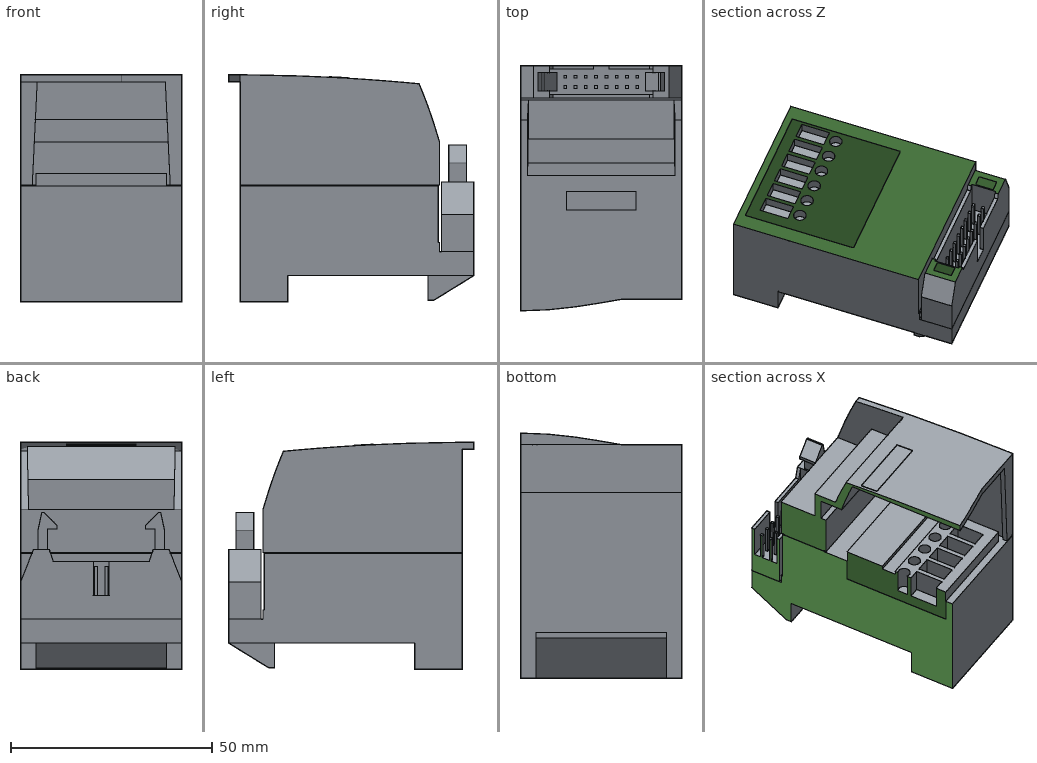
import cadquery as cq
import math

width = 40.0
half_width = width / 2
length = 61
height = 56.5
eave_overhang = 2.85
back_y = length - eave_overhang

base_top_z = 28.85
rail_slot_z = 6.5
foot_depth = 11.9
base_back_y = 49.3
base_back_foot_y = 49.6
base_back_foot_z = 14.75
rear_ledge_z = 12.5
clip_half_width = 16.2
clip_front_y = 46.7
clip_tip_y = 48.15
clip_bottom_z = 0.35
seam_gap = 0.2
seat_clearance = 0.6

cover_bottom_z = base_top_z + seam_gap
cover_back_y = base_back_foot_y
roof_back_y = 44.55
roof_drop = 2.25
back_curve_mid = (47.3, 47.05)
eave_thickness = 1.8
ceiling_z = height - eave_thickness
side_wall_low = 2.15
side_wall_high = 1.65
frame_depth = 1.2
opening_low_margin = 2.85
opening_high_margin = 4.1
eave_curve_mid = (13.85 - half_width, -1.8)
eave_end_x = 25.1 - half_width
eave_end_slope = 0.17
roof_edge_y = 30.8
middle_step_y = 33.9
middle_step_z = 47.2
middle_wall_y = 39.85
shelf_z = 39.8
shelf_front_y = 36.6
inner_offset = 1.8
slope_bulge = 0.1
plate_size = (17.3, 4.5)
plate_center_y = 24.5
plate_height = 0.1

block_half_width = 16.2
block_front_y = 1.9
block_back_y = 30.5
block_top_z = 31.95
block_height = 9.15
block_bottom_z = block_top_z - block_height
groove_front_y = 16.6
groove_back_y = 20.25
groove_depth = 0.9
terminal_count = 6
terminal_pitch = 5.0
last_terminal_x = 11.5
wire_slot_width = 3.9
wire_slot_front_y = 4.7
wire_slot_back_y = 11.95
screw_hole_diameter = 3.0
screw_hole_y = 14.45
terminal_depth = 6.1

header_front_y = 50
header_top_z = 29.85
chamfer_z = 21.8
chamfer_width = 3.2
shroud_half_length = 12.9
shroud_wall = 0.9
shroud_top_z = 26.85
pocket_floor_z = 18.3
key_width = 3.95
pin_columns = 8
pin_rows = 2
pin_pitch = 2.55
pin_size = 0.7
pin_top_z = 25.6

latch_half_depth = 2.25
latch_outer_x = half_width - 4.3
latch_stem_inner_x = half_width - 6.7
latch_tip_outer_x = half_width - 5.25
latch_tip_inner_x = half_width - 5.75
latch_hook_x = half_width - 9.0
latch_shoulder_z = 34.55
latch_top_z = 39.05
latch_lip = 0.85
latch_bottom_z = pocket_floor_z


def box(x_range, y_range, z_range):
    """Box between two limits along each axis."""
    (x0, x1), (y0, y1), (z0, z1) = x_range, y_range, z_range
    return cq.Workplane("XY").box(x1 - x0, y1 - y0, z1 - z0, centered=False).translate((x0, y0, z0))


def centered_range(middle, size):
    return (middle - size / 2, middle + size / 2)


def across(half):
    """Limits of a feature placed symmetrically about X = 0."""
    return (-half, half)


def across_width(outline, half=half_width):
    """Solid with a side outline in (Y, Z), running across the width."""
    return outline.close().extrude(half, both=True)


def side_outline(start):
    return cq.Workplane("YZ").moveTo(*start)


def make_base():
    body = across_width(
        side_outline((0, 0))
        .lineTo(foot_depth, 0)
        .lineTo(foot_depth, rail_slot_z)
        .lineTo(back_y, rail_slot_z)
        .lineTo(back_y, rear_ledge_z)
        .lineTo(base_back_foot_y, rear_ledge_z)
        .lineTo(base_back_foot_y, base_back_foot_z)
        .lineTo(base_back_y, base_back_foot_z)
        .lineTo(base_back_y, base_top_z)
        .lineTo(0, base_top_z)
    )
    clip = across_width(
        side_outline((clip_front_y, rail_slot_z))
        .lineTo(clip_front_y, clip_bottom_z)
        .lineTo(clip_tip_y, clip_bottom_z)
        .lineTo(back_y, rail_slot_z),
        clip_half_width,
    )
    seat = box(
        across(half_width - side_wall_low - seat_clearance),
        (shelf_front_y + seat_clearance, base_back_y - seat_clearance),
        (base_top_z, cover_bottom_z),
    )
    block_recess = box(
        across(block_half_width), (block_front_y, block_back_y), (block_bottom_z, base_top_z)
    )
    return body.union(clip).union(seat).cut(block_recess)


roof_run = roof_back_y + eave_overhang
roof_radius = (roof_run**2 + roof_drop**2) / (2 * roof_drop)


def roof_z(y):
    """Height of the arched roof, level at the tip of the eave."""
    return height - roof_radius + math.sqrt(roof_radius**2 - (y + eave_overhang) ** 2)


def cover_outline(rise=0):
    """Solid under the side outline of the cover and its eave, with the roof raised by `rise`."""
    roof_mid_y = roof_run / 2 - eave_overhang
    return across_width(
        side_outline((0, cover_bottom_z))
        .lineTo(cover_back_y, cover_bottom_z)
        .lineTo(cover_back_y, shelf_z)
        .threePointArc(back_curve_mid, (roof_back_y, roof_z(roof_back_y) + rise))
        .threePointArc((roof_mid_y, roof_z(roof_mid_y) + rise), (-eave_overhang, height + rise))
        .lineTo(-eave_overhang, ceiling_z)
        .lineTo(0, ceiling_z)
    )


def make_eave_trim():
    """Part of the eave cut away so that its edge curves back to the front face."""
    return (
        cq.Workplane("XY", origin=(0, 0, ceiling_z))
        .moveTo(-half_width, -eave_overhang)
        .spline(
            [eave_curve_mid, (eave_end_x, 0)],
            tangents=[(1, 0), (1, eave_end_slope)],
            includeCurrent=True,
        )
        .lineTo(half_width, 0)
        .lineTo(half_width, -eave_overhang)
        .close()
        .extrude(eave_thickness)
    )


def tapered_prism(low_margin, high_margin, y_range):
    """Space between drafted walls: margins from the cover's sides at its bottom and at the ceiling."""
    low = half_width - low_margin
    draft = (low_margin - high_margin) / (ceiling_z - cover_bottom_z)
    top_z = height + eave_thickness
    top = low + draft * (top_z - cover_bottom_z)
    y0, y1 = y_range
    return (
        cq.Workplane("XZ", origin=(0, y0, 0))
        .polyline([(-low, cover_bottom_z), (low, cover_bottom_z), (top, top_z), (-top, top_z)])
        .close()
        .extrude(y0 - y1)
    )


def slope_middle(top, bottom):
    """Middle of a steep rear slope that bulges slightly outwards."""
    return ((top[0] + bottom[0]) / 2 + slope_bulge, (top[1] + bottom[1]) / 2)


def make_interior():
    """Space below the roof and in front of the shelf."""
    slope_top = (roof_edge_y - inner_offset, ceiling_z)
    slope_bottom = (middle_step_y - inner_offset, middle_step_z - inner_offset)
    wall_y = middle_wall_y - inner_offset
    return across_width(
        side_outline((frame_depth, cover_bottom_z))
        .lineTo(shelf_front_y, cover_bottom_z)
        .lineTo(shelf_front_y, shelf_z)
        .lineTo(wall_y, shelf_z)
        .lineTo(wall_y, slope_bottom[1])
        .lineTo(*slope_bottom)
        .threePointArc(slope_middle(slope_top, slope_bottom), slope_top)
        .lineTo(frame_depth, ceiling_z)
    )


def make_rear_recess():
    """Stepped space above the shelf, behind the roof."""
    slope_top = (roof_edge_y, roof_z(roof_edge_y))
    slope_bottom = (middle_step_y, middle_step_z)
    return across_width(
        side_outline(slope_top)
        .threePointArc(slope_middle(slope_top, slope_bottom), slope_bottom)
        .lineTo(middle_wall_y, middle_step_z)
        .lineTo(middle_wall_y, shelf_z)
        .lineTo(back_y, shelf_z)
        .lineTo(back_y, height)
        .lineTo(roof_edge_y, height)
    )


def make_cover():
    between_walls = tapered_prism(side_wall_low, side_wall_high, (0, back_y))
    hollow = make_interior().union(make_rear_recess()).intersect(between_walls)
    below_ceiling = box(across(half_width), (0, frame_depth), (cover_bottom_z, ceiling_z))
    opening = tapered_prism(opening_low_margin, opening_high_margin, (0, frame_depth))
    opening = opening.intersect(below_ceiling)
    plate_length, plate_width = plate_size
    plate_area = box(
        across(plate_length / 2), centered_range(plate_center_y, plate_width), (ceiling_z, height)
    )
    name_plate = cover_outline(plate_height).intersect(plate_area)
    return cover_outline().cut(make_eave_trim()).cut(hollow).cut(opening).union(name_plate)


def make_terminal_block():
    block = box(across(block_half_width), (block_front_y, block_back_y), (block_bottom_z, block_top_z))
    groove = box(
        across(block_half_width), (groove_front_y, groove_back_y), (block_top_z - groove_depth, block_top_z)
    )
    block = block.cut(groove)
    floor_z = block_top_z - terminal_depth
    for index in range(terminal_count):
        x = last_terminal_x - index * terminal_pitch
        wire_slot = box(
            centered_range(x, wire_slot_width), (wire_slot_front_y, wire_slot_back_y), (floor_z, block_top_z)
        )
        screw_hole = (
            cq.Workplane("XY", origin=(x, screw_hole_y, floor_z))
            .circle(screw_hole_diameter / 2)
            .extrude(terminal_depth)
        )
        block = block.cut(wire_slot).cut(screw_hole)
    return block


header_center_y = (header_front_y + back_y) / 2
latch_y = centered_range(header_center_y, 2 * latch_half_depth)


def make_header():
    header_depth = back_y - header_front_y
    body = (
        cq.Workplane("XZ", origin=(0, back_y, 0))
        .polyline([
            (-half_width, rear_ledge_z),
            (half_width, rear_ledge_z),
            (half_width, chamfer_z),
            (half_width - chamfer_width, header_top_z),
            (shroud_half_length, header_top_z),
            (shroud_half_length - shroud_wall, shroud_top_z),
            (shroud_wall - shroud_half_length, shroud_top_z),
            (-shroud_half_length, header_top_z),
            (chamfer_width - half_width, header_top_z),
            (-half_width, chamfer_z),
        ])
        .close()
        .extrude(header_depth)
    )
    pocket_z = (pocket_floor_z, header_top_z)
    pocket_back_y = back_y - shroud_wall
    pocket = box(across(shroud_half_length), (header_front_y + shroud_wall, pocket_back_y), pocket_z)
    key_slot = box(across(key_width / 2), (pocket_back_y, back_y), pocket_z)
    body = body.cut(pocket).cut(key_slot)
    for side in (-1, 1):
        slot_x = sorted((side * latch_stem_inner_x, side * latch_outer_x))
        body = body.cut(box(slot_x, latch_y, (latch_bottom_z, header_top_z)))
    pins = (
        cq.Workplane("XY", origin=(0, header_center_y, pocket_floor_z))
        .rarray(pin_pitch, pin_pitch, pin_columns, pin_rows)
        .rect(pin_size, pin_size)
        .extrude(pin_top_z - pocket_floor_z)
    )
    return body.union(pins)


def make_latch(side):
    """Latch at the +X end for side 1 and at the -X end for side -1."""
    hook_top_z = latch_top_z - (latch_tip_inner_x - latch_hook_x)
    hook_bottom_z = hook_top_z - latch_lip
    outline = [
        (latch_outer_x, latch_bottom_z),
        (latch_outer_x, latch_shoulder_z),
        (latch_tip_outer_x, latch_top_z),
        (latch_tip_inner_x, latch_top_z),
        (latch_hook_x, hook_top_z),
        (latch_hook_x, hook_bottom_z),
        (latch_stem_inner_x, hook_bottom_z),
        (latch_stem_inner_x, latch_bottom_z),
    ]
    front_y, rear_y = latch_y
    return (
        cq.Workplane("XZ", origin=(0, rear_y, 0))
        .polyline([(side * x, z) for x, z in outline])
        .close()
        .extrude(rear_y - front_y)
    )


base = make_base()
cover = make_cover()
terminal_block = make_terminal_block()
header = make_header()
latches = [make_latch(side).val() for side in (-1, 1)]

result = cq.Compound.makeCompound([base.val(), cover.val(), terminal_block.val(), header.val(), *latches])